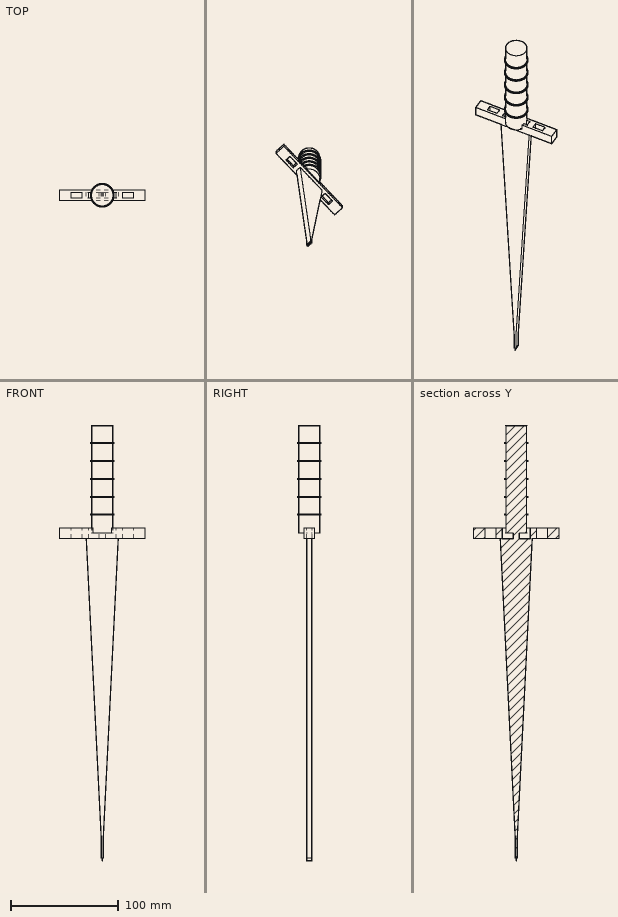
import cadquery as cq

guard_length = 80.0
guard_side = 10.0
guard_bottom = -guard_side / 2

hole_count = 4
hole_length = 10.0
hole_width = 5.0
hole_pitch = guard_length / (hole_count + 1)

grip_diameter = 20.0
grip_length = 100.0
ring_count = 5
ring_diameter = 22.0
ring_height = 1.0
ring_pitch = grip_length / (ring_count + 1)

blade_length = 300.0
blade_width = 30.0
blade_thickness = 5.0
tip_bar_width = 2.0
tip_bar_end_gap = 2.5
blade_point = guard_bottom - blade_length


def make_guard():
    bar = cq.Workplane("XY").box(guard_length, guard_side, guard_side)
    holes = (
        cq.Workplane("XY")
        .rarray(hole_pitch, 1, hole_count, 1)
        .rect(hole_length, hole_width)
        .extrude(guard_side, both=True)
    )
    return bar.cut(holes)


def make_grip():
    grip = cq.Workplane("XY").circle(grip_diameter / 2).extrude(grip_length)
    for i in range(1, ring_count + 1):
        ring_bottom = i * ring_pitch
        ring_plane = cq.Workplane("XY", origin=(0, 0, ring_bottom))
        ring = ring_plane.circle(ring_diameter / 2).extrude(ring_height)
        grip = grip.union(ring)
    return grip


def make_blade():
    plate = (
        cq.Workplane("XZ")
        .moveTo(-blade_width / 2, guard_bottom)
        .lineTo(blade_width / 2, guard_bottom)
        .lineTo(0, blade_point)
        .close()
        .extrude(blade_thickness / 2, both=True)
    )
    tip_bar_top = blade_point + blade_length * tip_bar_width / blade_width
    tip_bar_bottom = blade_point + tip_bar_end_gap
    tip_bar = (
        cq.Workplane("XY", origin=(0, 0, tip_bar_bottom))
        .rect(tip_bar_width, blade_thickness)
        .extrude(tip_bar_top - tip_bar_bottom)
    )
    return plate.union(tip_bar)


result = make_guard().union(make_grip()).union(make_blade())